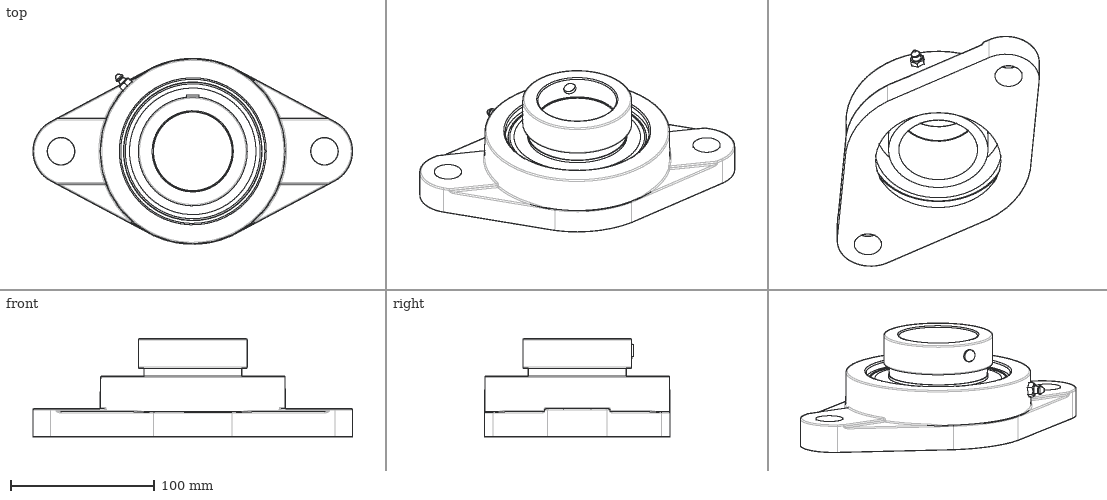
import cadquery as cq
import math

total_length = 223.3
total_height = 68.5
plate_radius = 65.0
boss_foot_radius = 64.8
boss_top_radius = 64.5
boss_height = 42.5
boss_edge_round = 1.0
plate_thickness = 17.6
plate_edge_round = 1.0
tab_height = 19.7
tab_width = 45.5
tab_end_radius = 23.5
tab_edge_round = 1.0
tab_side_fillet = 1.0
boss_foot_fillet = 1.0
flank_start_x = 27.2
bolt_hole_diameter = 19.0
bolt_hole_offset = 92.0
mouth_diameter = 100.7
mouth_chamfer_diameter = 102.7

ledge_z = 37.5
seat_diameter = 100.0
seat_opening_diameter = 96.5
outer_ring_bore = 88.5
outer_ring_face_diameter = 94.2
outer_ring_chamfer_height = 1.0
seat_radius = seat_diameter / 2
seat_center_z = ledge_z - math.sqrt(seat_radius**2 - (seat_opening_diameter / 2) ** 2)
outer_ring_half_width = ledge_z - seat_center_z
outer_ring_top = ledge_z
outer_ring_bottom = seat_center_z - outer_ring_half_width

shaft_bore = 55.0
inner_ring_diameter = 68.5
shoulder_diameter = 69.5
shoulder_top = 40.0
inner_ring_top = 52.7
inner_ring_bore_chamfer = 0.7
cam_diameter = 65.0
seal_thickness = 2.2
seal_inner_top = 38.2

collar_diameter = 76.2
collar_bottom = 47.8
collar_edge_round = 1.0
collar_bore_chamfer = 1.0
screw_diameter = 8.5
screw_z = 60.3
screw_inner_end = 30.4
screw_outer_end = 39.3

nipple_angle = 135.0
nipple_z = 31.7
nipple_root = 60.3
nipple_hex_diameter = 10.3
nipple_hex_end = 68.5
nipple_hex_chamfer = 1.1
nipple_collar_diameter = 6.0
nipple_neck_diameter = 4.2
nipple_tip_diameter = 2.2
nipple_neck_end = 71.0
nipple_head_start = 72.0
nipple_head_end = 72.8
nipple_tip_end = 75.3

edge_margin = 0.11
smallest_circle = cq.selectors.RadiusNthSelector(0)


def cylinder(diameter, bottom, top):
    """An upright cylinder on the bearing axis."""
    return cq.Workplane("XY").workplane(offset=bottom).circle(diameter / 2).extrude(top - bottom)


def flange_blank(height):
    """Middle arcs of the plate radius and rounded tab ends, joined by straight flanks."""
    tab_center = total_length / 2 - tab_end_radius
    normal_x = (plate_radius - tab_end_radius) / tab_center
    flank_start_y = math.sqrt(plate_radius**2 - flank_start_x**2)
    end_x = tab_center + tab_end_radius * normal_x
    end_y = tab_end_radius * math.sqrt(1 - normal_x**2)
    return (
        cq.Workplane("XY")
        .moveTo(-flank_start_x, flank_start_y)
        .threePointArc((0, plate_radius), (flank_start_x, flank_start_y))
        .lineTo(end_x, end_y)
        .threePointArc((total_length / 2, 0), (end_x, -end_y))
        .lineTo(flank_start_x, -flank_start_y)
        .threePointArc((0, -plate_radius), (-flank_start_x, -flank_start_y))
        .lineTo(-end_x, -end_y)
        .threePointArc((-total_length / 2, 0), (-end_x, end_y))
        .close()
        .extrude(height)
    )


def on_seat_sphere(rise):
    """Radius and height of the seat sphere at the given rise above its center."""
    return (math.sqrt(seat_radius**2 - rise**2), seat_center_z + rise)


def make_boss():
    """Round boss, slightly tapered above the plate, with a rounded top edge."""
    return (
        cq.Workplane("XZ")
        .lineTo(boss_foot_radius, 0)
        .lineTo(boss_foot_radius, plate_thickness)
        .lineTo(boss_top_radius, boss_height)
        .lineTo(0, boss_height)
        .close()
        .revolve(360, (0, 0, 0), (0, 1, 0))
        .faces(">Z")
        .edges()
        .fillet(boss_edge_round)
    )


def make_seat():
    """Space for the outer ring: a spherical seat below a ledge and a wider, chamfered mouth."""
    bottom_opening_radius = math.sqrt(seat_radius**2 - seat_center_z**2)
    mouth_radius = mouth_diameter / 2
    mouth_chamfer_radius = mouth_chamfer_diameter / 2
    mouth_chamfer_start = boss_height - (mouth_chamfer_radius - mouth_radius)
    return (
        cq.Workplane("XZ")
        .lineTo(bottom_opening_radius, 0)
        .threePointArc((seat_radius, seat_center_z), (seat_opening_diameter / 2, ledge_z))
        .lineTo(mouth_radius, ledge_z)
        .lineTo(mouth_radius, mouth_chamfer_start)
        .lineTo(mouth_chamfer_radius, boss_height)
        .lineTo(0, boss_height)
        .close()
        .revolve(360, (0, 0, 0), (0, 1, 0))
    )


def level_lines(body, level, direction):
    """Straight edges of the given direction that lie flat at one height."""
    corner_low = (-total_length, -total_length, level - edge_margin)
    corner_high = (total_length, total_length, level + edge_margin)
    at_level = cq.selectors.BoxSelector(corner_low, corner_high)
    return body.edges(direction).edges("%LINE").edges(at_level).vals()


def boss_foot_edges(body):
    """Edges around the foot of the boss, apart from the stretches along the plate's middle arcs."""
    edges = []
    for edge in body.edges().vals():
        points = edge.positions([0, 0.5, 1])
        on_boss = all(abs(math.hypot(p.x, p.y) - boss_foot_radius) < edge_margin for p in points)
        in_foot = all(plate_thickness - edge_margin < p.z < tab_height + edge_margin for p in points)
        beside_flank = abs(points[1].x) > flank_start_x
        if on_boss and in_foot and beside_flank:
            edges.append(edge)
    return edges


def make_flange():
    """Plate with two raised bolt tabs, filleted where they meet and rounded along the upper edges."""
    tab_strip = cq.Workplane("XY").box(total_length, tab_width, tab_height, centered=(True, True, False))
    flange = flange_blank(plate_thickness).union(flange_blank(tab_height).intersect(tab_strip))
    flange = flange.faces(">Z").edges().fillet(tab_edge_round)
    flange = flange.newObject(level_lines(flange, plate_thickness, "|X")).fillet(tab_side_fillet)
    return flange.newObject(level_lines(flange, plate_thickness, "not |X")).fillet(plate_edge_round)


def make_housing(nipple):
    """Flange and boss, hollowed for the bearing, the bolts and the nipple."""
    body = make_flange().union(make_boss())
    body = body.newObject(boss_foot_edges(body)).fillet(boss_foot_fillet)
    bolt_holes = (
        cq.Workplane("XY")
        .pushPoints([(-bolt_hole_offset, 0), (bolt_hole_offset, 0)])
        .circle(bolt_hole_diameter / 2)
        .extrude(tab_height)
    )
    return body.cut(bolt_holes).cut(make_seat()).cut(nipple)


def make_outer_ring():
    """Ring with a spherical outside and chamfered end faces."""
    bore_radius = outer_ring_bore / 2
    face_radius = outer_ring_face_diameter / 2
    chamfer_rise = outer_ring_half_width - outer_ring_chamfer_height
    return (
        cq.Workplane("XZ")
        .moveTo(bore_radius, outer_ring_bottom)
        .lineTo(face_radius, outer_ring_bottom)
        .lineTo(*on_seat_sphere(-chamfer_rise))
        .threePointArc((seat_radius, seat_center_z), on_seat_sphere(chamfer_rise))
        .lineTo(face_radius, outer_ring_top)
        .lineTo(bore_radius, outer_ring_top)
        .close()
        .revolve(360, (0, 0, 0), (0, 1, 0))
    )


def make_seal():
    """Seal washer whose top rises slightly from the outer ring to the inner ring."""
    bottom = outer_ring_top - seal_thickness
    inner_radius = shoulder_diameter / 2
    outer_radius = outer_ring_bore / 2
    return (
        cq.Workplane("XZ")
        .moveTo(inner_radius, bottom)
        .lineTo(outer_radius, bottom)
        .lineTo(outer_radius, outer_ring_top)
        .lineTo(inner_radius, seal_inner_top)
        .close()
        .revolve(360, (0, 0, 0), (0, 1, 0))
    )


def make_inner_ring():
    """Inner ring with a shoulder at the seal, a neck, and a reduced end inside the collar."""
    shoulder = cylinder(shoulder_diameter, outer_ring_bottom, shoulder_top)
    neck = cylinder(inner_ring_diameter, shoulder_top, collar_bottom)
    reduced_end = cylinder(cam_diameter, collar_bottom, inner_ring_top)
    bore = cylinder(shaft_bore, outer_ring_bottom, inner_ring_top)
    ring = shoulder.union(neck).union(reduced_end).cut(bore)
    return ring.faces(">Z").edges(smallest_circle).chamfer(inner_ring_bore_chamfer)


def screw_rod(inner_end, outer_end):
    """A rod of the set screw's diameter, pointing to +Y."""
    return (
        cq.Workplane("XZ", origin=(0, inner_end, screw_z))
        .circle(screw_diameter / 2)
        .extrude(inner_end - outer_end)
    )


def make_collar():
    """Locking collar with rounded edges, recessed for the inner ring and drilled for the set screw."""
    collar = cylinder(collar_diameter, collar_bottom, total_height)
    collar = collar.faces("<Z or >Z").edges().fillet(collar_edge_round)
    collar = collar.cut(cylinder(shaft_bore, collar_bottom, total_height))
    collar = collar.faces(">Z").edges(smallest_circle).chamfer(collar_bore_chamfer)
    collar = collar.cut(cylinder(cam_diameter, collar_bottom, inner_ring_top))
    return collar.cut(screw_rod(0, collar_diameter))


def make_nipple():
    """Chamfered hexagon and a turned head with a neck, pointing outward from the boss."""
    hexagon = (
        cq.Workplane("YZ", origin=(nipple_root, 0, 0))
        .transformed(rotate=(0, 0, 90))
        .polygon(6, nipple_hex_diameter)
        .extrude(nipple_hex_end - nipple_root)
    )
    hex_radius = nipple_hex_diameter / 2
    hex_envelope = (
        cq.Workplane("XY")
        .moveTo(nipple_root, 0)
        .lineTo(nipple_root, hex_radius)
        .lineTo(nipple_hex_end - nipple_hex_chamfer, hex_radius)
        .lineTo(nipple_hex_end, hex_radius - nipple_hex_chamfer)
        .lineTo(nipple_hex_end, 0)
        .close()
        .revolve(360, (0, 0, 0), (1, 0, 0))
    )
    head = (
        cq.Workplane("XY")
        .moveTo(nipple_root, 0)
        .lineTo(nipple_root, nipple_collar_diameter / 2)
        .lineTo(nipple_hex_end, nipple_collar_diameter / 2)
        .lineTo(nipple_neck_end, nipple_neck_diameter / 2)
        .lineTo(nipple_head_start, nipple_collar_diameter / 2)
        .lineTo(nipple_head_end, nipple_collar_diameter / 2)
        .lineTo(nipple_tip_end, nipple_tip_diameter / 2)
        .lineTo(nipple_tip_end, 0)
        .close()
        .revolve(360, (0, 0, 0), (1, 0, 0))
    )
    nipple = hexagon.intersect(hex_envelope).union(head)
    return nipple.rotate((0, 0, 0), (0, 0, 1), nipple_angle).translate((0, 0, nipple_z))


grease_nipple = make_nipple()
housing = make_housing(grease_nipple)
outer_ring = make_outer_ring()
seal = make_seal()
inner_ring = make_inner_ring()
collar = make_collar()
set_screw = screw_rod(screw_inner_end, screw_outer_end)

result = cq.Compound.makeCompound(
    [
        *housing.solids().vals(),
        *outer_ring.solids().vals(),
        *seal.solids().vals(),
        *inner_ring.solids().vals(),
        *collar.solids().vals(),
        *set_screw.solids().vals(),
        *grease_nipple.solids().vals(),
    ]
)